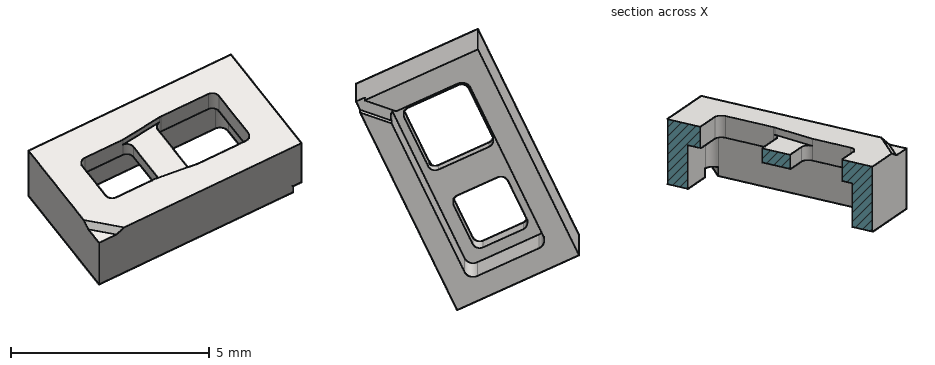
import cadquery as cq
import math

width = 3.4
length = 6.0
height = 1.8

window_radius = 0.2
large_window = 1.8
large_window_center = 1.13
small_window = 1.51
small_window_center = -1.35
bridge_depth = 0.2

wall = 0.6
cavity_height = 1.2
cavity_radius = 0.24

vent_width = cavity_radius * math.sqrt(2)
vent_height = 0.24

mark_leg_top = 0.745
mark_leg_floor = 0.515
mark_depth = 0.14


def window(size, center_y):
    """Square through-window with rounded corners."""
    return (
        cq.Workplane("XY")
        .center(0, center_y)
        .rect(size, size)
        .extrude(height)
        .edges("|Z")
        .fillet(window_radius)
    )


def bridge_recess():
    """Tapered recess between the tangent points of the facing window corners."""
    wide_y = large_window_center - large_window / 2 + window_radius
    narrow_y = small_window_center + small_window / 2 - window_radius
    outline = [
        (-large_window / 2, wide_y),
        (large_window / 2, wide_y),
        (small_window / 2, narrow_y),
        (-small_window / 2, narrow_y),
    ]
    return (
        cq.Workplane("XY")
        .workplane(offset=height - bridge_depth)
        .polyline(outline)
        .close()
        .extrude(bridge_depth)
    )


def cavity():
    """Rounded rectangular cavity inset by an equal wall on all sides."""
    return (
        cq.Workplane("XY")
        .rect(width - 2 * wall, length - 2 * wall)
        .extrude(cavity_height)
        .edges("|Z")
        .fillet(cavity_radius)
    )


def vent():
    """Channel running at 45 degrees from the cavity corner out past the block corner."""
    start_inset = wall + cavity_radius / 2
    run = start_inset * math.sqrt(2) + vent_width
    return (
        cq.Workplane("XY")
        .box(run, vent_width, vent_height, centered=(False, True, False))
        .rotate((0, 0, 0), (0, 0, 1), 45)
        .translate((width / 2 - start_inset, length / 2 - start_inset, 0))
    )


def corner_mark():
    """Triangular step whose diagonal side slopes down to a flat floor."""

    def triangle(plane, leg):
        corner = (width / 2, -length / 2)
        return plane.polyline(
            [corner, (corner[0] - leg, corner[1]), (corner[0], corner[1] + leg)]
        ).close()

    floor = cq.Workplane("XY").workplane(offset=height - mark_depth)
    outline = triangle(floor, mark_leg_floor)
    return triangle(outline.workplane(offset=mark_depth), mark_leg_top).loft(ruled=True)


result = (
    cq.Workplane("XY")
    .box(width, length, height, centered=(True, True, False))
    .cut(window(large_window, large_window_center))
    .cut(window(small_window, small_window_center))
    .cut(bridge_recess())
    .cut(cavity())
    .cut(vent())
    .cut(corner_mark())
)